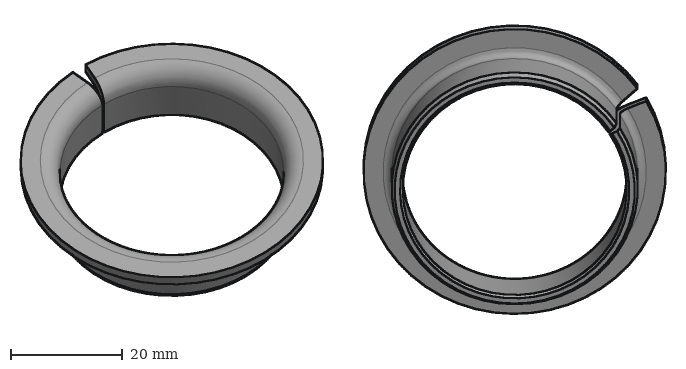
import cadquery as cq
import math

flange_radius = 27.0
height = 12.0
wall = 2.0
bore_radius = 19.95
mouth_radius = 3.5
lead_in_height = 1.15
lead_in_width = 0.55
bore_chamfer = 0.5
gap_half_angle = 10.0
gap_bore_width = 0.4

sleeve_radius = bore_radius + wall
bend_radius = bore_radius + mouth_radius
bend_height = height - mouth_radius
root_radius = mouth_radius - wall
diagonal = math.sqrt(0.5)


def flanged_ring():
    """Revolve the sleeve, bend and flange section about Z, with the seam at the split."""
    section = (
        cq.Workplane("XZ")
        .moveTo(bore_radius, bore_chamfer)
        .lineTo(bore_radius + bore_chamfer, 0)
        .lineTo(sleeve_radius - lead_in_width, 0)
        .lineTo(sleeve_radius, lead_in_height)
        .lineTo(sleeve_radius, bend_height)
        .threePointArc(
            (bend_radius - root_radius * diagonal, bend_height + root_radius * diagonal),
            (bend_radius, height - wall),
        )
        .lineTo(flange_radius, height - wall)
        .lineTo(flange_radius, height)
        .lineTo(bend_radius, height)
        .threePointArc(
            (bend_radius - mouth_radius * diagonal, bend_height + mouth_radius * diagonal),
            (bore_radius, bend_height),
        )
        .close()
    )
    ring = section.revolve(360, (0, 0, 0), (0, 1, 0))
    return ring.rotate((0, 0, 0), (0, 0, 1), 180)


def split_wedge():
    """Wedge on the -X side that widens outward from the bore."""
    slope = math.tan(math.radians(gap_half_angle))
    apex_radius = bore_radius - gap_bore_width / 2 / slope
    reach = 1.1 * flange_radius
    half_width = (reach - apex_radius) * slope
    return (
        cq.Workplane("XY")
        .polyline([(-apex_radius, 0), (-reach, half_width), (-reach, -half_width)])
        .close()
        .extrude(height)
    )


result = flanged_ring().cut(split_wedge())